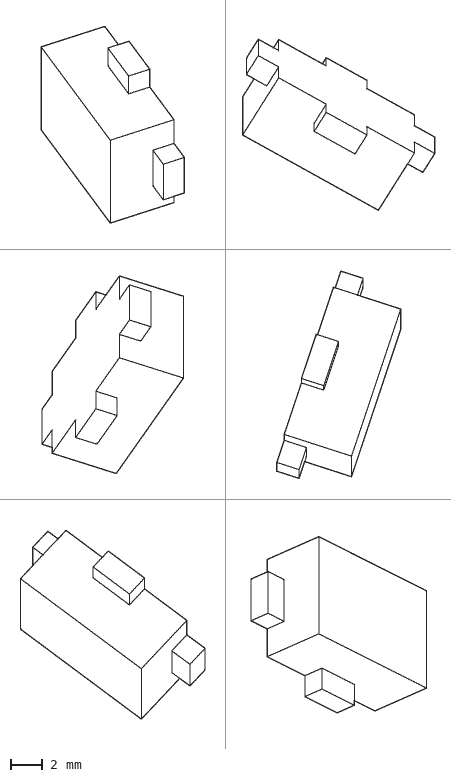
import cadquery as cq

overall_length = 13.0
body_length = 10.0
body_height = 7.0
body_depth = 4.5
tab_width = 3.0
tab_thickness = 1.5

tab_reach = (overall_length - body_length) / 2
overall_height = body_height + 2 * tab_reach


def block_from_back(length, depth, height):
    """Block centred in X and Z, with its back face on the plane Y = 0."""
    return cq.Workplane("XY").box(length, depth, height).translate((0, -depth / 2, 0))


body = block_from_back(body_length, body_depth, body_height)

end_tabs = block_from_back(overall_length, tab_thickness, tab_width)
top_and_bottom_tabs = block_from_back(tab_width, tab_thickness, overall_height)

result = body.union(end_tabs).union(top_and_bottom_tabs).clean()